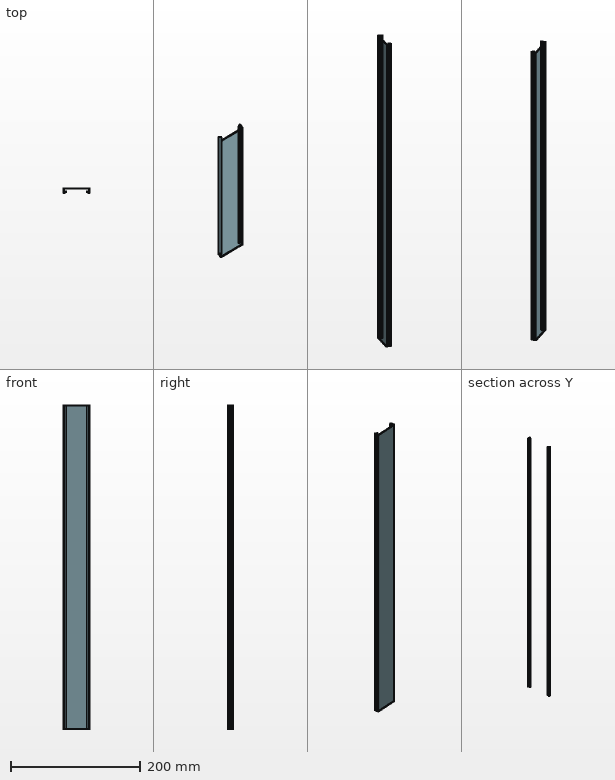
import cadquery as cq

LENGTH = 500.0
WIDTH = 40.5
DEPTH = 8.0

WEB = 1.0
FLANGE_WALL = 1.0
FLANGE_DEPTH = 3.5
CORNER_RADIUS = 0.75

GROOVE_DEPTH = 0.5
GROOVE_HEIGHT = 1.5
HOOK_REACH = 4.25
HOOK_TOP = 3.5
HOOK_TIP = 2.0
TIP_BEVEL_WIDTH = 0.6
TIP_BEVEL_HEIGHT = 1.25
TIP_WIDTH = 1.0

BACK = DEPTH / 2
FRONT = -DEPTH / 2
HALF_WIDTH = WIDTH / 2
FLANGE_END = BACK - FLANGE_DEPTH


def extrude_outline(points):
    """Prism of full length, centred on Z = 0."""
    return cq.Workplane("XY").polyline(points).close().extrude(LENGTH / 2, both=True)


def make_cover():
    """Web and two flanges, with the outer back corners rounded."""
    inner = HALF_WIDTH - FLANGE_WALL
    cover = extrude_outline([
        (-HALF_WIDTH, BACK),
        (HALF_WIDTH, BACK),
        (HALF_WIDTH, FLANGE_END),
        (inner, FLANGE_END),
        (inner, BACK - WEB),
        (-inner, BACK - WEB),
        (-inner, FLANGE_END),
        (-HALF_WIDTH, FLANGE_END),
    ])
    return cover.edges("|Z and >Y").fillet(CORNER_RADIUS)


def make_snap_strip(side):
    """Hooked strip that continues one flange toward -Y, its tip sloped up to the hook; side is -1 or +1."""

    def at(inset, y):
        return side * (HALF_WIDTH - inset), y

    return extrude_outline([
        at(GROOVE_DEPTH, FLANGE_END),
        at(GROOVE_DEPTH, FLANGE_END - GROOVE_HEIGHT),
        at(0, FLANGE_END - GROOVE_HEIGHT),
        at(0, FRONT + TIP_BEVEL_HEIGHT),
        at(TIP_BEVEL_WIDTH, FRONT),
        at(TIP_WIDTH, FRONT),
        at(HOOK_REACH, FRONT + HOOK_TIP),
        at(HOOK_REACH, FRONT + HOOK_TOP),
        at(FLANGE_WALL, FRONT + HOOK_TOP),
        at(FLANGE_WALL, FLANGE_END),
    ])


cover = make_cover()
snap_strips = [make_snap_strip(side) for side in (-1, 1)]

result = cq.Compound.makeCompound([cover.val(), *[strip.val() for strip in snap_strips]])